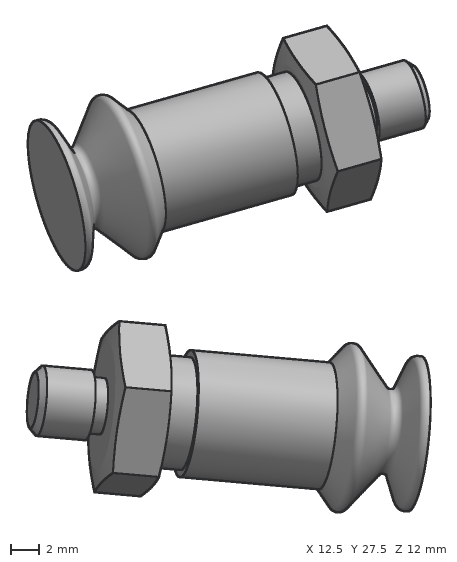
import cadquery as cq
import math


stud_diameter = 5.0
stud_length = 4.0
stud_chamfer = 0.5
undercut_diameter = 4.0
undercut_length = 1.0

hex_across_flats = 11.0
hex_length = 4.0
hex_turn = 11.2
hex_chamfer_angle = 10.5
hex_face_diameter = 9.0

collar_diameter = 8.0
collar_length = 2.0
body_diameter = 9.0
body_length = 10.0

round_radius = 0.5
rim_diameter = 12.0
rim_height = 5.0
waist_diameter = 6.0
waist_height = 2.0
lip_diameter = 11.0
lip_edge_height = 0.23
body_bottom = 6.5

collar_bottom = body_bottom + body_length
hex_bottom = collar_bottom + collar_length
hex_top = hex_bottom + hex_length
stud_bottom = hex_top + undercut_length
stud_top = stud_bottom + stud_length


def tangent_point(center, point, side):
    """Point where a line from `point` touches the round at `center`.

    `side` is 1 or -1 and picks one of the two tangents: 1 turns
    counterclockwise from the direction center-to-point.
    """
    dx = point[0] - center[0]
    dy = point[1] - center[1]
    spread = math.acos(round_radius / math.hypot(dx, dy))
    angle = math.atan2(dy, dx) + side * spread
    return (
        center[0] + round_radius * math.cos(angle),
        center[1] + round_radius * math.sin(angle),
    )


def midpoint(first, second):
    """Point halfway between two points."""
    return ((first[0] + second[0]) / 2, (first[1] + second[1]) / 2)


def make_turned_body():
    """Everything except the hexagon, revolved in one piece."""
    lip_center = (lip_diameter / 2 - round_radius, lip_edge_height)
    waist_center = (waist_diameter / 2 + round_radius, waist_height)
    rim_center = (rim_diameter / 2 - round_radius, rim_height)

    lip_crossing = midpoint(lip_center, waist_center)
    rim_crossing = midpoint(waist_center, rim_center)
    lip_end = tangent_point(lip_center, lip_crossing, -1)
    waist_start = tangent_point(waist_center, lip_crossing, -1)
    waist_end = tangent_point(waist_center, rim_crossing, 1)
    rim_start = tangent_point(rim_center, rim_crossing, 1)
    rim_end = tangent_point(rim_center, (body_diameter / 2, body_bottom), -1)

    lip_angle = math.atan2(lip_end[1] - lip_center[1], lip_end[0] - lip_center[0]) / 2
    lip_middle = (
        lip_center[0] + round_radius * math.cos(lip_angle),
        lip_center[1] + round_radius * math.sin(lip_angle),
    )

    profile = (
        cq.Workplane("XY")
        .moveTo(0, 0)
        .lineTo(lip_diameter / 2, 0)
        .lineTo(lip_diameter / 2, lip_edge_height)
        .threePointArc(lip_middle, lip_end)
        .lineTo(*waist_start)
        .threePointArc((waist_diameter / 2, waist_height), waist_end)
        .lineTo(*rim_start)
        .threePointArc((rim_diameter / 2, rim_height), rim_end)
        .lineTo(body_diameter / 2, body_bottom)
        .lineTo(body_diameter / 2, collar_bottom)
        .lineTo(collar_diameter / 2, collar_bottom)
        .lineTo(collar_diameter / 2, hex_bottom)
        .lineTo(undercut_diameter / 2, hex_bottom)
        .lineTo(undercut_diameter / 2, stud_bottom)
        .lineTo(stud_diameter / 2, stud_bottom)
        .lineTo(stud_diameter / 2, stud_top - stud_chamfer)
        .lineTo(stud_diameter / 2 - stud_chamfer, stud_top)
        .lineTo(0, stud_top)
        .close()
    )
    return profile.revolve(360, (0, 0, 0), (0, 1, 0))


def make_hexagon():
    """Hexagonal prism with its corners cut by a cone at both ends."""
    corner_radius = hex_across_flats / math.sqrt(3)
    face_radius = hex_face_diameter / 2
    corner_drop = (corner_radius - face_radius) * math.tan(math.radians(hex_chamfer_angle))
    prism = (
        cq.Workplane("XZ", origin=(0, hex_bottom, 0))
        .polygon(6, 2 * corner_radius)
        .extrude(-hex_length)
        .rotate((0, 0, 0), (0, 1, 0), -hex_turn)
    )
    envelope = (
        cq.Workplane("XY")
        .moveTo(0, hex_bottom)
        .lineTo(face_radius, hex_bottom)
        .lineTo(corner_radius, hex_bottom + corner_drop)
        .lineTo(corner_radius, hex_top - corner_drop)
        .lineTo(face_radius, hex_top)
        .lineTo(0, hex_top)
        .close()
        .revolve(360, (0, 0, 0), (0, 1, 0))
    )
    return prism.intersect(envelope)


result = make_turned_body().union(make_hexagon())